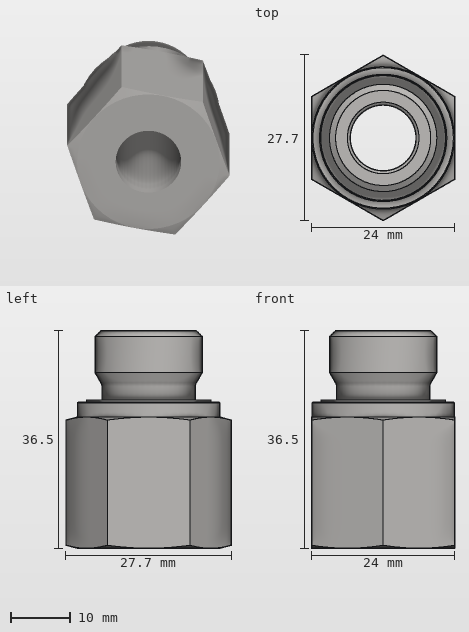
import cadquery as cq
import math

total_height = 36.5

across_flats = 24.0
hex_top = 22.0
hex_chamfer_angle = math.radians(15)
collar_radius = 23.9 / 2
collar_top = 24.5
collar_chamfer_width = 0.2
collar_chamfer_height = 0.1

thread_radius = 18.0 / 2
thread_chamfer = 1.02
thread_bottom = 29.45
neck_radius = 15.7 / 2
runout_angle = math.radians(30)
runout_fillet = 1.0

bore_radius = 11.0 / 2
bore_chamfer = 0.5

seat_radius = 21.0 / 2
seat_chamfer = 0.2
seal_radius = 20.9 / 2
seal_top = 24.9
seal_thickness = 1.5
seal_floor = seal_top - seal_thickness
seal_mouth_radius = thread_radius
seal_mouth_angle = math.radians(30)


def revolve_profile(points):
    """Turn a closed (radius, height) outline about the Z axis."""
    return cq.Workplane("XZ").polyline(points).close().revolve(360, (0, 0, 0), (0, 1, 0))


def make_hexagon():
    """Hexagonal prism with corners on Y and both ends chamfered by a cone."""
    corner_radius = across_flats / math.sqrt(3)
    prism = (
        cq.Workplane("XY")
        .polygon(6, 2 * corner_radius)
        .extrude(hex_top)
        .rotate((0, 0, 0), (0, 0, 1), 30)
    )
    envelope_radius = corner_radius + 0.35
    cone_drop = (envelope_radius - collar_radius) * math.tan(hex_chamfer_angle)
    envelope = revolve_profile([
        (0, 0),
        (collar_radius, 0),
        (envelope_radius, cone_drop),
        (envelope_radius, hex_top - cone_drop),
        (collar_radius, hex_top),
        (0, hex_top),
    ])
    return prism.intersect(envelope)


def make_collar():
    """Round collar with a fine top chamfer and a chamfered seat for the seal ring."""
    return revolve_profile([
        (0, hex_top),
        (collar_radius, hex_top),
        (collar_radius, collar_top - collar_chamfer_height),
        (collar_radius - collar_chamfer_width, collar_top),
        (seat_radius + seat_chamfer, collar_top),
        (seat_radius, collar_top - seat_chamfer),
        (seat_radius, seal_floor),
        (0, seal_floor),
    ])


def make_spigot():
    """Neck, filleted conical run-out and chamfered thread cylinder."""
    fillet_end_radius = neck_radius + runout_fillet * (1 - math.cos(runout_angle))
    fillet_end = thread_bottom - (thread_radius - fillet_end_radius) / math.tan(runout_angle)
    fillet_start = fillet_end - runout_fillet * math.sin(runout_angle)
    half_angle = runout_angle / 2
    fillet_middle = (
        neck_radius + runout_fillet * (1 - math.cos(half_angle)),
        fillet_start + runout_fillet * math.sin(half_angle),
    )
    return (
        cq.Workplane("XZ")
        .moveTo(0, seal_floor)
        .lineTo(neck_radius, seal_floor)
        .lineTo(neck_radius, fillet_start)
        .threePointArc(fillet_middle, (fillet_end_radius, fillet_end))
        .lineTo(thread_radius, thread_bottom)
        .lineTo(thread_radius, total_height - thread_chamfer)
        .lineTo(thread_radius - thread_chamfer, total_height)
        .lineTo(0, total_height)
        .close()
        .revolve(360, (0, 0, 0), (0, 1, 0))
    )


def make_bore():
    """Through bore, chamfered at the spigot end."""
    return revolve_profile([
        (0, 0),
        (bore_radius, 0),
        (bore_radius, total_height - bore_chamfer),
        (bore_radius + bore_chamfer, total_height),
        (0, total_height),
    ])


def make_fitting():
    return make_hexagon().union(make_collar()).union(make_spigot()).cut(make_bore())


def make_seal_ring():
    """Ring around the neck, standing proud of the collar, with a conical mouth."""
    mouth_depth = (seal_mouth_radius - neck_radius) * math.tan(seal_mouth_angle)
    return revolve_profile([
        (neck_radius, seal_floor),
        (seal_radius, seal_floor),
        (seal_radius, seal_top),
        (seal_mouth_radius, seal_top),
        (neck_radius, seal_top - mouth_depth),
    ])


fitting = make_fitting()
seal_ring = make_seal_ring()

result = cq.Compound.makeCompound([fitting.val(), seal_ring.val()])